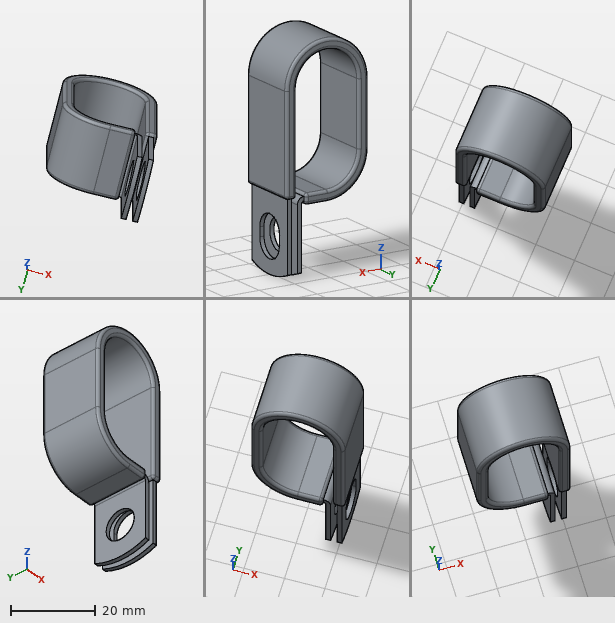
import cadquery as cq
import math


loop_bore = 17.46
straight_length = 17.4
cushion_width = 17.46
strap_thickness = 1.2
cushion_cover = 0.8
tab_gap = 1.6
tab_bend_radius = 0.6
overall_height = 59.06
hole_diameter = 8.7
slot_length = 11.2
hole_to_tip = 9.5
tip_radius = 19.0

cushion_inner_radius = loop_bore / 2
strap_inner_radius = cushion_inner_radius + cushion_cover
strap_outer_radius = strap_inner_radius + strap_thickness
cushion_outer_radius = strap_outer_radius + cushion_cover

strap_width = cushion_width - 2 * cushion_cover
lower_center_z = -straight_length
arm_top_z = lower_center_z - strap_inner_radius
arm_bottom_z = lower_center_z - strap_outer_radius
tip_z = cushion_outer_radius - overall_height
hole_center_z = tip_z + hole_to_tip
bent_tab_outer_x = strap_inner_radius - tab_gap
bent_tab_inner_x = bent_tab_outer_x - strap_thickness
tab_gap_center_x = strap_inner_radius - tab_gap / 2
bend_start_x = bent_tab_inner_x - tab_bend_radius
bend_center_z = arm_bottom_z - tab_bend_radius
bend_outer_radius = tab_bend_radius + strap_thickness

cushion_arm_end_x = bend_start_x
cushion_wall_end_z = arm_top_z


def diagonal(radius):
    """X and Z offset of the midpoint of a quarter arc from its center."""
    return radius * math.sqrt(0.5)


def loop_solid(inner_radius, outer_radius, arm_end_x, wall_end_z, width):
    """Band around the loop, from the end of the lower arm to the foot of the +X wall."""
    inner_mid = diagonal(inner_radius)
    outer_mid = diagonal(outer_radius)
    return (
        cq.Workplane("XZ")
        .moveTo(arm_end_x, lower_center_z - outer_radius)
        .lineTo(0, lower_center_z - outer_radius)
        .threePointArc((-outer_mid, lower_center_z - outer_mid), (-outer_radius, lower_center_z))
        .lineTo(-outer_radius, 0)
        .threePointArc((0, outer_radius), (outer_radius, 0))
        .lineTo(outer_radius, wall_end_z)
        .lineTo(inner_radius, wall_end_z)
        .lineTo(inner_radius, 0)
        .threePointArc((0, inner_radius), (-inner_radius, 0))
        .lineTo(-inner_radius, lower_center_z)
        .threePointArc((-inner_mid, lower_center_z - inner_mid), (0, lower_center_z - inner_radius))
        .lineTo(arm_end_x, lower_center_z - inner_radius)
        .close()
        .extrude(width / 2, both=True)
    )


def end_corner_edges(body):
    """Edges along Y at the two cut ends of the cushion."""
    pick_size = cushion_cover / 2
    corners = [
        (cushion_arm_end_x, lower_center_z - cushion_inner_radius),
        (cushion_arm_end_x, lower_center_z - cushion_outer_radius),
        (cushion_inner_radius, cushion_wall_end_z),
        (cushion_outer_radius, cushion_wall_end_z),
    ]
    edges = []
    for x, z in corners:
        picker = cq.selectors.BoxSelector(
            (x - pick_size, -cushion_width, z - pick_size),
            (x + pick_size, cushion_width, z + pick_size),
        )
        edges += body.edges("|Y").edges(picker).vals()
    return edges


def make_cushion():
    """Cushion with every outer edge rounded by the cover thickness."""
    body = loop_solid(
        cushion_inner_radius,
        cushion_outer_radius,
        cushion_arm_end_x,
        cushion_wall_end_z,
        cushion_width,
    )
    rim_edges = body.faces("<Y or >Y").edges().vals()
    rounded_edges = rim_edges + end_corner_edges(body)
    return body.newObject(rounded_edges).fillet(cushion_cover)


def make_bent_tab():
    """Quarter bend from the lower arm followed by the straight tab."""
    inner_mid = diagonal(tab_bend_radius)
    outer_mid = diagonal(bend_outer_radius)
    return (
        cq.Workplane("XZ")
        .moveTo(bend_start_x, arm_top_z)
        .threePointArc(
            (bend_start_x + outer_mid, bend_center_z + outer_mid),
            (bent_tab_outer_x, bend_center_z),
        )
        .lineTo(bent_tab_outer_x, tip_z)
        .lineTo(bent_tab_inner_x, tip_z)
        .lineTo(bent_tab_inner_x, bend_center_z)
        .threePointArc(
            (bend_start_x + inner_mid, bend_center_z + inner_mid),
            (bend_start_x, arm_bottom_z),
        )
        .close()
        .extrude(strap_width / 2, both=True)
    )


def make_tab_outline():
    """Strap silhouette along X: full width with an arc-shaped tip."""
    half_width = strap_width / 2
    tip_rise = tip_radius - math.sqrt(tip_radius**2 - half_width**2)
    return (
        cq.Workplane("YZ", origin=(-cushion_outer_radius, 0, 0))
        .moveTo(-half_width, cushion_outer_radius)
        .lineTo(-half_width, tip_z + tip_rise)
        .threePointArc((0, tip_z), (half_width, tip_z + tip_rise))
        .lineTo(half_width, cushion_outer_radius)
        .close()
        .extrude(2 * cushion_outer_radius)
    )


def make_bolt_hole():
    """Round cutter along X for the bent tab, ending midway between the tabs."""
    return (
        cq.Workplane("YZ")
        .center(0, hole_center_z)
        .circle(hole_diameter / 2)
        .extrude(tab_gap_center_x)
    )


def make_bolt_slot():
    """Upright slotted cutter along X for the straight tab, starting midway between the tabs."""
    return (
        cq.Workplane("YZ", origin=(tab_gap_center_x, 0, 0))
        .center(0, hole_center_z)
        .slot2D(slot_length, hole_diameter, 90)
        .extrude(cushion_outer_radius - tab_gap_center_x)
    )


def make_strap():
    """Metal strap: loop and straight tab in one band, plus the bent tab."""
    band = loop_solid(strap_inner_radius, strap_outer_radius, bend_start_x, tip_z, strap_width)
    strap = band.union(make_bent_tab())
    strap = strap.intersect(make_tab_outline())
    return strap.cut(make_bolt_hole()).cut(make_bolt_slot())


result = make_cushion().union(make_strap())